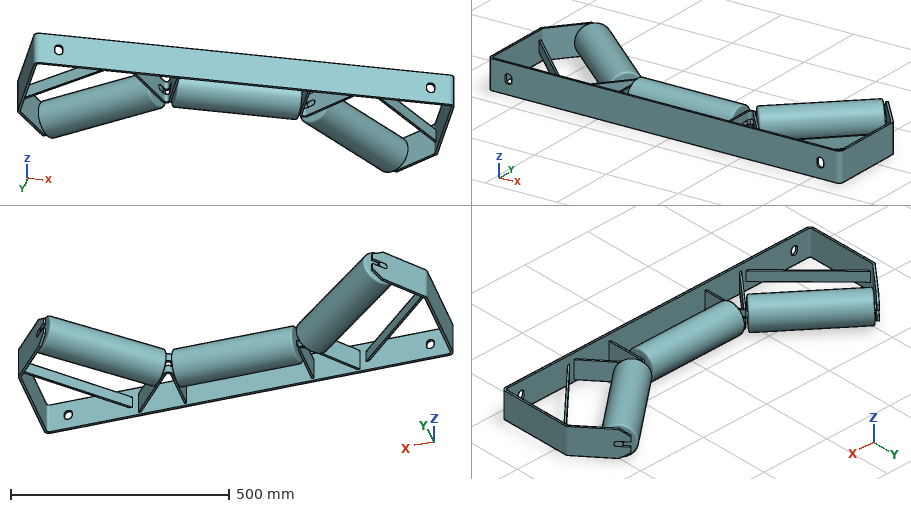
import cadquery as cq
import math


frame_length = 980.0
bar_width = 80.0
bar_thickness = 6.0
bar_bend_radius = 12.0
wall_height = 215.0
wing_length = 148.0
wing_chamfer_along = 28.0
wing_chamfer_across = 18.0

mount_slot_spacing = 868.0
mount_slot_length = 26.0
mount_slot_width = 19.0

trough_angle = 40.0
side_roller_tilt = 1.3
roller_diameter = 89.0
roller_length = 290.0
roller_edge_radius = 5.0
end_gap = 5.0
shaft_height = 22.0
shaft_width = 14.0
middle_axis_y = 100.0
middle_axis_z = 33.35
wing_axis_y = 302.75
wing_axis_z = 40.24

bracket_width = 55.0
bracket_thickness = 5.0
bracket_bend_radius = 11.0
strut_width = 30.0
strut_thickness = 5.0
strut_angle = 44.3
strut_top_y = 205.0

slot_overrun = 20.0
slot_opening = 60.0

half_length = frame_length / 2
support_spacing = roller_length + 2 * end_gap
bracket_bottom_z = middle_axis_z - bracket_width / 2
trough = math.radians(trough_angle)
tilt = math.radians(side_roller_tilt)
wing_direction = (math.sin(trough), math.cos(trough))
wing_normal = (math.cos(trough), -math.sin(trough))
base_top = bar_thickness
wall_inner_x = -half_length + bar_thickness


def moved(point, direction, distance):
    return (point[0] + direction[0] * distance, point[1] + direction[1] * distance)


def point_at_y(point, direction, y):
    """Point at height y on the line through `point`."""
    return (point[0] + (y - point[1]) * direction[0] / direction[1], y)


def point_at_x(point, direction, x):
    """Point at position x on the line through `point`."""
    return (x, point[1] + (x - point[0]) * direction[1] / direction[0])


def with_mirror(left):
    """The left-hand body and its copy on the +X side."""
    return [left, left.mirror("YZ")]


def round_corner(body, point, radius):
    """Round the Z-parallel edge that passes through the given XY point."""
    reach = 0.5
    low = (point[0] - reach, point[1] - reach, -reach)
    high = (point[0] + reach, point[1] + reach, bar_width + reach)
    return body.edges(cq.selectors.BoxSelector(low, high)).fillet(radius)


wing_corner = (-half_length, wall_height)
wing_inner_point = moved(wing_corner, wing_normal, bar_thickness)
wing_seat = point_at_y(wing_inner_point, wing_direction, wing_axis_y)
leg_seat = moved(wing_seat, wing_normal, support_spacing)

side_axis = cq.Plane(
    origin=(*wing_seat, wing_axis_z),
    xDir=(-wing_direction[0], -wing_direction[1], 0),
    normal=(wing_normal[0] * math.cos(tilt), wing_normal[1] * math.cos(tilt), -math.sin(tilt)),
)
middle_axis = cq.Plane(
    origin=(-support_spacing / 2, middle_axis_y, middle_axis_z),
    xDir=(0, -1, 0),
    normal=(1, 0, 0),
)


def make_shaft(axis, start_reach, end_reach):
    """Obround shaft spanning both supports and reaching past each inner face."""
    return (
        cq.Workplane(axis)
        .workplane(offset=-start_reach)
        .slot2D(shaft_height, shaft_width)
        .extrude(start_reach + support_spacing + end_reach)
    )


def make_roller(axis, start_support, end_support):
    """Roller with its shaft ends flush with the far faces of the two supports."""
    barrel = (
        cq.Workplane(axis)
        .workplane(offset=end_gap)
        .circle(roller_diameter / 2)
        .extrude(roller_length)
        .edges()
        .fillet(roller_edge_radius)
    )
    return barrel.union(make_shaft(axis, start_support, end_support))


def make_slot_cutter(axis):
    """Shaft shape continued to the open end of the slot."""
    opening = (
        cq.Workplane(axis)
        .workplane(offset=-slot_overrun)
        .center(-slot_opening / 2, 0)
        .rect(slot_opening, shaft_width)
        .extrude(support_spacing + 2 * slot_overrun)
    )
    return make_shaft(axis, slot_overrun, slot_overrun).union(opening)


side_slot = make_slot_cutter(side_axis)
middle_slot = make_slot_cutter(middle_axis)


def make_frame():
    base_corner = (-half_length, 0)
    base_inner = (wall_inner_x, base_top)
    wing_tip = moved(wing_corner, wing_direction, wing_length)
    wing_tip_inner = moved(wing_tip, wing_normal, bar_thickness)
    wing_corner_inner = point_at_x(wing_inner_point, wing_direction, wall_inner_x)

    left_outline = [base_corner, wing_corner, wing_tip, wing_tip_inner, wing_corner_inner, base_inner]
    right_outline = [(-x, y) for x, y in reversed(left_outline)]
    frame = cq.Workplane("XY").polyline(left_outline + right_outline).close().extrude(bar_width)

    inner_radius = bar_bend_radius - bar_thickness
    bends = [
        (base_corner, bar_bend_radius),
        (base_inner, inner_radius),
        (wing_corner, bar_bend_radius),
        (wing_corner_inner, inner_radius),
    ]
    for (x, y), radius in bends:
        frame = round_corner(frame, (x, y), radius)
        frame = round_corner(frame, (-x, y), radius)

    tip_plane = cq.Plane(
        origin=(*wing_tip, bar_width),
        xDir=(*wing_direction, 0),
        normal=(*wing_normal, 0),
    )
    upper_corner = (
        cq.Workplane(tip_plane)
        .polyline([(0, 0), (-wing_chamfer_along, 0), (0, -wing_chamfer_across)])
        .close()
        .extrude(bar_thickness)
    )
    lower_corner = upper_corner.mirror("XY", (0, 0, bar_width / 2))
    for cutter in (upper_corner, lower_corner, side_slot):
        for side_cutter in with_mirror(cutter):
            frame = frame.cut(side_cutter)

    mount_x = mount_slot_spacing / 2
    mount_slots = (
        cq.Workplane("XZ")
        .pushPoints([(-mount_x, bar_width / 2), (mount_x, bar_width / 2)])
        .slot2D(mount_slot_length, mount_slot_width, 90)
        .extrude(-bar_thickness)
    )
    return frame.cut(mount_slots)


def make_bracket():
    outer_x = -support_spacing / 2
    inner_x = outer_x - bracket_thickness
    sloped_inner_point = moved(leg_seat, wing_normal, bracket_thickness)
    apex = point_at_x(leg_seat, wing_direction, outer_x)
    apex_inner = point_at_x(sloped_inner_point, wing_direction, inner_x)
    outline = [
        (outer_x, base_top),
        apex,
        point_at_y(leg_seat, wing_direction, base_top),
        point_at_y(sloped_inner_point, wing_direction, base_top),
        apex_inner,
        (inner_x, base_top),
    ]
    bracket = (
        cq.Workplane("XY")
        .workplane(offset=bracket_bottom_z)
        .polyline(outline)
        .close()
        .extrude(bracket_width)
    )
    bracket = round_corner(bracket, apex, bracket_bend_radius)
    bracket = round_corner(bracket, apex_inner, bracket_bend_radius - bracket_thickness)
    return bracket.cut(side_slot).cut(middle_slot)


def make_strut():
    slope = math.radians(strut_angle)
    direction = (math.cos(slope), -math.sin(slope))
    upper_end = (wall_inner_x, strut_top_y)
    lower_end = (wall_inner_x, strut_top_y - strut_thickness / math.cos(slope))
    outline = [
        upper_end,
        point_at_y(upper_end, direction, base_top),
        point_at_y(lower_end, direction, base_top),
        lower_end,
    ]
    return (
        cq.Workplane("XY")
        .workplane(offset=(bar_width - strut_width) / 2)
        .polyline(outline)
        .close()
        .extrude(strut_width)
    )


frame = make_frame()
middle_roller = make_roller(middle_axis, bracket_thickness, bracket_thickness)
side_rollers = with_mirror(make_roller(side_axis, bar_thickness, bracket_thickness))
brackets = with_mirror(make_bracket())
struts = with_mirror(make_strut())

bodies = [frame, middle_roller, *side_rollers, *brackets, *struts]
result = cq.Compound.makeCompound([body.val() for body in bodies])